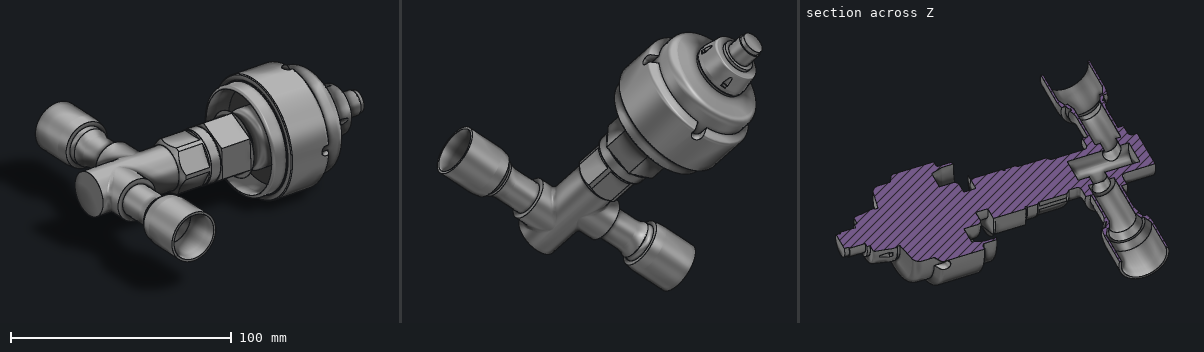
import cadquery as cq
import math


tee_dia = 21.7
tee_top_y = 42.6
tee_bore_dia = 13.5
tee_bore_bottom_y = 6.0
tee_bore_top_y = 36.1

left_branch_y = 27.0
right_branch_y = 14.1
branch_dia = 21.0
branch_end_x = 17.3
branch_root_fillet = 1.8
orifice_dia = 9.0

wall = 1.2
tube_dia = 16.0
tube_bore_dia = tube_dia - 2 * wall
tube_seat_x = 11.3
flare_start_x = 30.1
flare_end_x = 35.2
flare_dia = 18.7
neck_dia = 19.0
neck_start_x = 35.5
neck_bulge = 0.42
socket_start_x = 38.4
socket_shoulder_x = 43.5
socket_end_x = 61.03
socket_dia = 24.7
socket_shoulder_dia = 23.2
socket_shoulder_bulge = 0.2
socket_bore_dia = socket_dia - 2 * wall
socket_floor_dia = 19.0

lower_nut_flats = 24.0
lower_nut_dia = 26.5
lower_nut_chamfer = 2.3
flats_top_y = 58.1

collar_bottom_y = 59.0
collar_dia = 27.0
collar_top_y = 64.1
groove_dia = 25.6
upper_nut_bottom_y = 64.9
upper_nut_top_y = 80.8
upper_nut_flats = 27.1
upper_nut_turn = 3.0
washer_dia = 32.0
washer_thickness = 0.2

boss_dia = 29.3
boss_round = 2.5
boss_end_y = 86.7
stem_neck_dia = 15.0

lip_y = 84.1
lip_dia = 53.5
lip_round = 1.4
cup_mouth_dia = 50.1
cup_taper_y = 90.0
cup_floor_y = 95.5
cup_floor_dia = 46.7
ledge_dia = 54.5
ledge_y = 91.2
body_bottom_y = 91.8
body_dia = 60.0
body_chamfer = 0.5
body_top_y = 111.7
shoulder_dia = 58.1
shoulder_y = 113.3
crown_dia = 51.9
crown_bottom_y = 115.1
crown_round_y = 120.9
dome_dia = 45.8
dome_y = 124.8
dome_top_y = 126.5

slot_width = 5.1
slot_center_y = 111.4

cap_neck_dia = 26.3
cap_bottom_y = 128.0
cap_dia = 27.2
cap_taper_y = 130.3
cap_top_taper_y = 138.2
cap_taper_end_dia = 24.4
cap_top_y = 139.0
cap_top_dia = 22.0
flange_dia = 16.3
flange_top_y = 140.5
connector_dia = 12.3
connector_top_y = 148.2
tip_dia = 11.0
top_y = 150.5

notch_dia = 3.5
notch_floor_r = 12.5
notch_step = 0.5
notch_step_y = 131.7
notch_turn = 3.5

quarter_turns = [0, 90, 180, 270]


def cylinder_y(dia, start_y, end_y):
    """Cylinder on the stem axis."""
    return cq.Workplane("XZ", origin=(0, start_y, 0)).circle(dia / 2).extrude(start_y - end_y)


def hex_prism_y(across_flats, turn, start_y, end_y):
    """Hexagonal prism on the stem axis, with corners at +X and -X when turn is 0."""
    corner_dia = across_flats / math.cos(math.radians(30))
    prism = cq.Workplane("XZ", origin=(0, start_y, 0)).polygon(6, corner_dia).extrude(start_y - end_y)
    return prism.rotate((0, 0, 0), (0, 1, 0), -turn)


def spin_y(profile):
    """Revolve an XY profile, drawn with X as radius, about the stem axis."""
    return profile.close().revolve(360, (0, 0, 0), (0, 1, 0))


def tee_with_branches():
    body = cylinder_y(tee_dia, 0, tee_top_y)
    for side, height in [(-1, left_branch_y), (1, right_branch_y)]:
        branch = cq.Workplane("YZ", origin=(0, height, 0)).circle(branch_dia / 2).extrude(side * branch_end_x)
        body = body.union(branch)
    reach = (tee_dia + branch_dia) / 4
    roots = cq.selectors.BoxSelector(
        (-reach, branch_root_fillet, -tee_dia), (reach, tee_top_y - branch_root_fillet, tee_dia)
    )
    return body.edges(roots).edges("not |Y").fillet(branch_root_fillet)


def fitting_outside():
    """Tube, flare, neck and socket as a solid of revolution about X, pointing to +X."""
    profile = (
        cq.Workplane("XY")
        .moveTo(tube_seat_x, 0)
        .lineTo(tube_seat_x, tube_dia / 2)
        .lineTo(flare_start_x, tube_dia / 2)
        .tangentArcPoint((flare_end_x, flare_dia / 2), relative=False)
        .lineTo(neck_start_x, tube_dia / 2)
        .sagittaArc((socket_start_x, neck_dia / 2), neck_bulge)
        .lineTo(socket_start_x, socket_shoulder_dia / 2)
        .sagittaArc((socket_shoulder_x, socket_dia / 2), socket_shoulder_bulge)
        .lineTo(socket_end_x, socket_dia / 2)
        .lineTo(socket_end_x, 0)
    )
    return profile.close().revolve(360, (0, 0, 0), (1, 0, 0))


def fitting_bore():
    """Orifice, tube bore and socket bore as one cutter about X, pointing to +X."""
    profile = (
        cq.Workplane("XY")
        .lineTo(0, orifice_dia / 2)
        .lineTo(tube_seat_x, orifice_dia / 2)
        .lineTo(tube_seat_x, tube_bore_dia / 2)
        .lineTo(neck_start_x, tube_bore_dia / 2)
        .lineTo(socket_start_x + wall, neck_dia / 2 - wall)
        .lineTo(socket_start_x + wall, socket_floor_dia / 2)
        .lineTo(socket_shoulder_x, socket_bore_dia / 2)
        .lineTo(socket_end_x, socket_bore_dia / 2)
        .lineTo(socket_end_x, 0)
    )
    return profile.close().revolve(360, (0, 0, 0), (1, 0, 0))


def place_on_branches(fitting):
    """The fitting on the right branch and its mirror image on the left branch."""
    right = fitting.translate((0, right_branch_y, 0))
    left = fitting.mirror("YZ").translate((0, left_branch_y, 0))
    return right, left


def lower_nut():
    turned = spin_y(
        cq.Workplane("XY")
        .moveTo(0, tee_top_y)
        .lineTo(lower_nut_dia / 2 - lower_nut_chamfer, tee_top_y)
        .lineTo(lower_nut_dia / 2, tee_top_y + lower_nut_chamfer)
        .lineTo(lower_nut_dia / 2, flats_top_y)
        .lineTo(0, flats_top_y)
    )
    flats = hex_prism_y(lower_nut_flats, 0, tee_top_y, flats_top_y)
    return turned.intersect(flats).union(cylinder_y(lower_nut_dia, flats_top_y, collar_bottom_y))


def stem():
    parts = cylinder_y(collar_dia, collar_bottom_y, collar_top_y)
    parts = parts.union(cylinder_y(groove_dia, collar_top_y, upper_nut_bottom_y))
    parts = parts.union(hex_prism_y(upper_nut_flats, 90 + upper_nut_turn, upper_nut_bottom_y, upper_nut_top_y))
    washer_top_y = upper_nut_top_y + washer_thickness
    parts = parts.union(cylinder_y(washer_dia, upper_nut_top_y, washer_top_y))
    return parts.union(cylinder_y(stem_neck_dia, washer_top_y, boss_end_y))


def housing():
    """Cup, dome, cap and connector as one solid of revolution."""
    return spin_y(
        cq.Workplane("XY")
        .moveTo(0, cup_floor_y)
        .lineTo(cup_floor_dia / 2, cup_floor_y)
        .lineTo(cup_mouth_dia / 2, cup_taper_y)
        .lineTo(cup_mouth_dia / 2, lip_y)
        .lineTo(lip_dia / 2 - lip_round, lip_y)
        .tangentArcPoint((lip_dia / 2, lip_y + lip_round), relative=False)
        .lineTo(lip_dia / 2, ledge_y)
        .lineTo(ledge_dia / 2, ledge_y)
        .lineTo(ledge_dia / 2, body_bottom_y)
        .lineTo(body_dia / 2 - body_chamfer, body_bottom_y)
        .lineTo(body_dia / 2, body_bottom_y + body_chamfer)
        .lineTo(body_dia / 2, body_top_y)
        .tangentArcPoint((shoulder_dia / 2, shoulder_y), relative=False)
        .lineTo(crown_dia / 2, crown_bottom_y)
        .lineTo(crown_dia / 2, crown_round_y)
        .tangentArcPoint((dome_dia / 2, dome_y), relative=False)
        .lineTo(cap_neck_dia / 2, dome_top_y)
        .lineTo(cap_neck_dia / 2, cap_bottom_y)
        .lineTo(cap_dia / 2, cap_bottom_y)
        .lineTo(cap_dia / 2, cap_taper_y)
        .lineTo(cap_taper_end_dia / 2, cap_top_taper_y)
        .tangentArcPoint((cap_top_dia / 2, cap_top_y), relative=False)
        .lineTo(flange_dia / 2, cap_top_y)
        .lineTo(flange_dia / 2, flange_top_y)
        .lineTo(connector_dia / 2, flange_top_y)
        .lineTo(connector_dia / 2, connector_top_y)
        .lineTo(tip_dia / 2, connector_top_y)
        .lineTo(tip_dia / 2, top_y)
        .lineTo(0, top_y)
    )


def boss():
    """Round-ended boss standing on the cup floor."""
    return cylinder_y(boss_dia, boss_end_y, cup_floor_y).faces("<Y").edges().fillet(boss_round)


def crown_slots():
    """Round-ended slots through the shoulder, as deep as the crown wall."""
    crown = cylinder_y(crown_dia, body_bottom_y, crown_bottom_y)
    straight_y = crown_bottom_y - slot_center_y
    bar = (
        cq.Workplane("XY", origin=(0, slot_center_y, 0))
        .circle(slot_width / 2)
        .extrude(body_dia)
        .union(
            cq.Workplane("XY", origin=(0, slot_center_y + straight_y / 2, 0))
            .rect(slot_width, straight_y)
            .extrude(body_dia)
        )
    )
    slot = bar.cut(crown)
    return [slot.rotate((0, 0, 0), (0, 1, 0), angle) for angle in quarter_turns]


def cap_notches():
    """Grooves parallel to the stem axis that run out on the cap taper."""
    axis_r = notch_floor_r + notch_dia / 2
    deep = cylinder_y(notch_dia, notch_step_y, cap_top_y).translate((0, 0, axis_r))
    shallow = cylinder_y(notch_dia, cap_taper_y, notch_step_y).translate((0, 0, axis_r + notch_step))
    notch = deep.union(shallow)
    return [notch.rotate((0, 0, 0), (0, 1, 0), angle - notch_turn) for angle in quarter_turns]


result = tee_with_branches()
for fitting in place_on_branches(fitting_outside()):
    result = result.union(fitting)
result = result.cut(cylinder_y(tee_bore_dia, tee_bore_bottom_y, tee_bore_top_y))
for bore in place_on_branches(fitting_bore()):
    result = result.cut(bore)

upper = housing()
for cutter in crown_slots() + cap_notches():
    upper = upper.cut(cutter)

result = result.union(lower_nut()).union(stem()).union(boss()).union(upper)